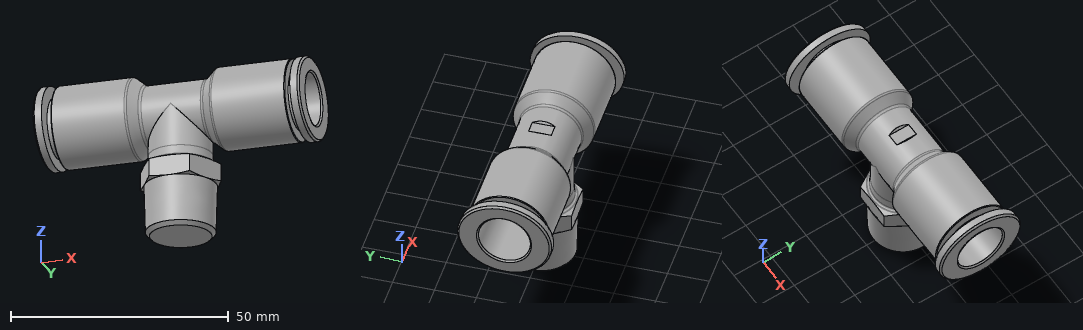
import cadquery as cq
import math

overall_length = 64.4
overall_height = 39.85
release_width = 22.5
release_height = 19.6
release_thickness = 2.2
release_chamfer = 0.45
collar_radius = 7.1
collar_length = 1.75
socket_radius = 9.8
socket_end_chamfer = 0.2
middle_radius = 7.5
shoulder_outer_x = 10.25
shoulder_inner_x = 7.55
shoulder_outer_blend = 0.8
shoulder_inner_blend = 1.0

bore_radius = 6.2
bore_mouth_chamfer = 0.4
bore_floor_x = shoulder_outer_x

mark_length = 3.15
mark_width = 5.4
mark_floor_z = math.sqrt(middle_radius**2 - (mark_width / 2) ** 2)
mark_depth = middle_radius - mark_floor_z

stem_radius = middle_radius
stem_bottom_z = -10.4
sleeve_radius = 7.65
sleeve_foot_fillet = 0.5
hex_top_z = -13.0
hex_bottom_z = -17.95
hex_flats = 17.0
hex_side_half_angle = 30
hex_corners = hex_flats / math.cos(math.radians(hex_side_half_angle))
hex_chamfer_radius = 8.4
hex_chamfer_slope = 0.3
thread_top_radius = 8.5
thread_bottom_radius = 8.2
thread_end_chamfer = 0.95
branch_bottom_z = release_height / 2 - overall_height


def shoulder_edge_at(x):
    """Select the circular edge of the turned socket lying near the given X."""
    reach = shoulder_outer_blend / 2
    return cq.selectors.BoxSelector(
        (x - reach, -socket_radius, -socket_radius),
        (x + reach, socket_radius, socket_radius),
    )


def make_socket():
    """Socket half on +X: middle cylinder, shoulder, body, neck and release ring."""
    end_x = overall_length / 2
    ring_x = end_x - release_thickness
    body_end_x = ring_x - collar_length
    body = (
        cq.Workplane("XY")
        .polyline([
            (0, 0),
            (0, middle_radius),
            (shoulder_inner_x, middle_radius),
            (shoulder_outer_x, socket_radius),
            (body_end_x, socket_radius),
            (body_end_x, 0),
        ])
        .close()
        .revolve(360, (0, 0, 0), (1, 0, 0))
    )
    body = body.edges(shoulder_edge_at(shoulder_inner_x)).fillet(shoulder_inner_blend)
    body = body.edges(shoulder_edge_at(shoulder_outer_x)).fillet(shoulder_outer_blend)
    body = body.faces(">X").edges().chamfer(socket_end_chamfer)
    collar = (
        cq.Workplane("YZ").workplane(offset=body_end_x).circle(collar_radius).extrude(collar_length)
    )
    ring = (
        cq.Workplane("YZ")
        .workplane(offset=ring_x)
        .ellipse(release_width / 2, release_height / 2)
        .extrude(release_thickness)
        .faces(">X")
        .edges()
        .chamfer(release_chamfer)
    )
    return body.union(collar).union(ring)


def make_bore():
    """Blind tube bore on +X with a chamfered mouth."""
    end_x = overall_length / 2
    return (
        cq.Workplane("XY")
        .polyline([
            (bore_floor_x, 0),
            (bore_floor_x, bore_radius),
            (end_x - bore_mouth_chamfer, bore_radius),
            (end_x, bore_radius + bore_mouth_chamfer),
            (end_x, 0),
        ])
        .close()
        .revolve(360, (0, 0, 0), (1, 0, 0))
    )


def make_hexagon():
    """Wrench hexagon with corners on X, both ends chamfered by cones."""
    prism = (
        cq.Workplane("XY")
        .workplane(offset=hex_bottom_z)
        .polygon(6, hex_corners)
        .extrude(hex_top_z - hex_bottom_z)
    )
    corner_radius = hex_corners / 2
    top_drop = (corner_radius - hex_chamfer_radius) * hex_chamfer_slope
    bottom_rise = (corner_radius - thread_top_radius) * hex_chamfer_slope
    envelope = (
        cq.Workplane("XZ")
        .polyline([
            (0, hex_top_z),
            (hex_chamfer_radius, hex_top_z),
            (corner_radius, hex_top_z - top_drop),
            (corner_radius, hex_bottom_z + bottom_rise),
            (thread_top_radius, hex_bottom_z),
            (0, hex_bottom_z),
        ])
        .close()
        .revolve(360, (0, 0, 0), (0, 1, 0))
    )
    return prism.intersect(envelope)


def make_branch():
    """Stem, sleeve and tapered thread blank turned about Z, plus the hexagon."""
    fillet_top_z = hex_top_z + sleeve_foot_fillet
    fillet_outer_radius = sleeve_radius + sleeve_foot_fillet
    turned = (
        cq.Workplane("XZ")
        .moveTo(0, 0)
        .lineTo(stem_radius, 0)
        .lineTo(stem_radius, stem_bottom_z)
        .lineTo(sleeve_radius, fillet_top_z)
        .radiusArc((fillet_outer_radius, hex_top_z), -sleeve_foot_fillet)
        .lineTo(fillet_outer_radius, hex_bottom_z)
        .lineTo(thread_top_radius, hex_bottom_z)
        .lineTo(thread_bottom_radius, branch_bottom_z + thread_end_chamfer)
        .lineTo(thread_bottom_radius - thread_end_chamfer, branch_bottom_z)
        .lineTo(0, branch_bottom_z)
        .close()
        .revolve(360, (0, 0, 0), (0, 1, 0))
    )
    return turned.union(make_hexagon())


def make_mark():
    """Shallow flat-bottomed recess whose two end walls slope at 45 degrees."""
    cut_height = 2 * mark_depth
    floor_half = mark_length / 2
    return (
        cq.Workplane("XZ")
        .polyline([
            (-floor_half, mark_floor_z),
            (floor_half, mark_floor_z),
            (floor_half + cut_height, mark_floor_z + cut_height),
            (-floor_half - cut_height, mark_floor_z + cut_height),
        ])
        .close()
        .extrude(mark_width / 2, both=True)
    )


socket = make_socket()
bore = make_bore()

result = (
    socket.union(socket.mirror("YZ"))
    .union(make_branch())
    .cut(bore)
    .cut(bore.mirror("YZ"))
    .cut(make_mark())
)